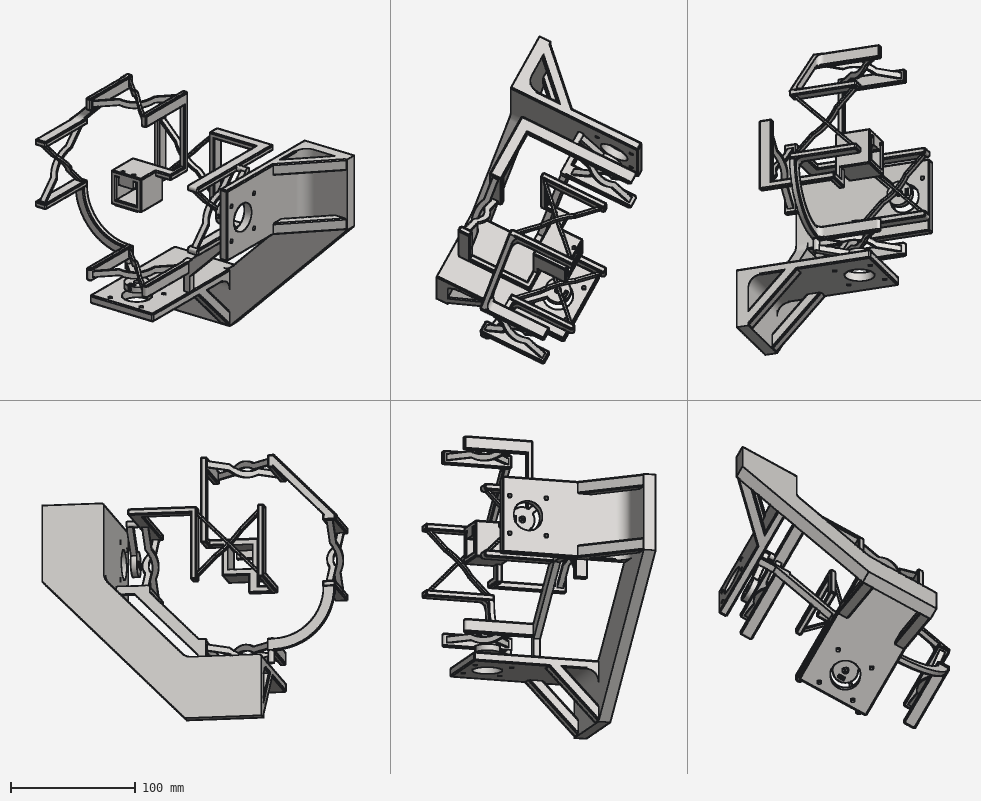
import cadquery as cq
import math


EDGE = 1.0
SPAN = 59.8
BAR = 5.0
ARM_DEPTH = 10.8
ARM_LENGTH = 58.0
GROUND_BAR = 5.5
NEAR_REACH = 75.0
FAR_REACH = 75.9
BACK_REACH = 70.0
JOINT_FILLET = 5.0
TIP_ROUND = 2.3

FLEX_WIDTH = 5.0
FLEX_THICK = 2.0
BUMP_HEIGHT = 4.0
BUMP_HALF_CHORD = 14.5
FLEX_OVERLAP = 2.3

CUBE = 30.0
WINDOW = 20.2
TONGUE_WIDTH = 14.2
TONGUE_HEIGHT = 6.2
TONGUE_DEPTH = 6.5
SMALL_HOLE = 3.0
CUBE_HOLE_SPACING = 10.5
CUBE_HOLE_INSET = 3.2
LEG_WIDTH = 10.0
LOWER_LEG_WIDTH = 8.3
LOWER_LEG_BAR = 5.7

BRACKET_WIDTH = 62.5
PLATE_TOP = -97.6
PLATE_THICK = 7.3
PLATE_FRONT = -21.5
WALL_BACK = 94.0
WALL_THICK = 10.0
BRACKET_BOTTOM = -147.8
RIB_WIDTH = 10.0
RIB_OUTER_SUM = -63.0
RIB_INNER_SUM = -50.2
BRACKET_FILLET = 10.0
MOTOR_HOLE_SPACING = 31.0
MOTOR_HOLE = 3.2
MOTOR_BORE = 24.3
BASE_FILLET = 10.0
BASE_CORNER = 30.3

STRUT_DEPTH = 5.5
STRUT_WIDTH = 6.5
STRUT_LOWER = 114.5

SLANT_UPPER = 110.0
SLANT_LOWER = 100.2
ARC_CENTRE_X = -29.8
ARC_CENTRE_Z = -30.5
ARC_OUTER = 49.3
ARC_INNER = 40.5

HUB_RADIUS = 10.3
HUB_SHAFT = 5.0
HUB_TOP = -85.5
NUT_WIDTH = 5.5
NUT_THICK = 2.5
NUT_OFFSET = 6.6

HALF = SPAN / 2
INNER = HALF - BAR
FRONT = -ARM_LENGTH / 2
REAR = ARM_LENGTH / 2
LINK_FRONT = REAR - BAR
BACK_FRONT = BACK_REACH - ARM_DEPTH / 2
BACK_REAR = BACK_REACH + ARM_DEPTH / 2


def block(xs, ys, zs, chamfer=0.0):
    """Box between two x, two y and two z positions, with its edges chamfered if asked."""
    size = [b - a for a, b in (xs, ys, zs)]
    box = cq.Workplane().box(*size, centered=False).translate((xs[0], ys[0], zs[0]))
    return box.edges().chamfer(chamfer) if chamfer else box


def prism_xz(points, ys):
    """Prism with an outline in x and z, between two y positions."""
    outline = cq.Workplane("XZ").polyline(points).close()
    return outline.extrude(-(ys[1] - ys[0])).translate((0, ys[0], 0))


def prism_yz(points, xs):
    """Prism with an outline in y and z, between two x positions."""
    outline = cq.Workplane("YZ").polyline(points).close()
    return outline.extrude(xs[1] - xs[0]).translate((xs[0], 0, 0))


def swap_sides(shape):
    """Mirror that takes top to left and bottom to right."""
    return shape.mirror((1, 0, 1))


def flexure(angle, side):
    """Flat strip along a diagonal of the XY plane, arching past its twin to one side."""
    end = (INNER + FLEX_OVERLAP) * math.sqrt(2)
    low = -FLEX_WIDTH / 2
    high = FLEX_WIDTH / 2
    strip = (
        cq.Workplane("XZ")
        .moveTo(-end, low)
        .lineTo(-BUMP_HALF_CHORD, low)
        .threePointArc((0, low + side * BUMP_HEIGHT), (BUMP_HALF_CHORD, low))
        .lineTo(end, low)
        .lineTo(end, high)
        .lineTo(BUMP_HALF_CHORD, high)
        .threePointArc((0, high + side * BUMP_HEIGHT), (-BUMP_HALF_CHORD, high))
        .lineTo(-end, high)
        .close()
        .extrude(FLEX_THICK / 2, both=True)
    )
    return strip.rotate((0, 0, 0), (0, 0, 1), angle)


def flexure_pair():
    """Two crossed strips between the arms of a pair, centred on the origin."""
    return flexure(45, -1).union(flexure(-45, 1))


def concave_fillet(radius, corner_x, corner_y, z_low, z_high):
    """Fillet along Z that fills a corner open toward -X and -Y."""
    square = block((corner_x - radius, corner_x), (corner_y - radius, corner_y), (z_low, z_high))
    cutter = (
        cq.Workplane("XY", origin=(corner_x - radius, corner_y - radius, z_low))
        .circle(radius)
        .extrude(z_high - z_low)
    )
    return square.cut(cutter)


def top_arms():
    """Top pair of arms and their crossed flexures."""
    zs = (NEAR_REACH - ARM_DEPTH / 2, NEAR_REACH + ARM_DEPTH / 2)
    left = block((-HALF, -INNER), (FRONT, REAR), zs, EDGE)
    right = block((INNER, HALF), (FRONT, REAR), zs, EDGE)
    return left.union(right).union(flexure_pair().translate((0, 0, NEAR_REACH)))


def round_tip_arm(xs, rear):
    """Arm of the bottom pair, rounded at its free end."""
    zs = (-FAR_REACH - ARM_DEPTH / 2, -FAR_REACH + ARM_DEPTH / 2)
    arm = block(xs, (FRONT, rear), zs)
    arm = arm.faces("<Y").edges("|Z").fillet(TIP_ROUND)
    return arm.faces("<Z or >Z").edges().chamfer(EDGE)


def bottom_arms():
    """Bottom pair of arms; the right-hand one is fixed to the ground strut."""
    left = round_tip_arm((-HALF, -INNER), REAR)
    right = round_tip_arm((INNER, INNER + GROUND_BAR), REAR + STRUT_DEPTH)
    return left.union(right).union(flexure_pair().translate((0, 0, -FAR_REACH)))


def rear_limb():
    """Rear arms and flexures, with the links to the stage and to the right-hand arms."""
    ys = (BACK_FRONT, BACK_REAR)
    left = block((-HALF, -INNER), ys, (-HALF, HALF), EDGE)
    right = block((INNER, HALF), ys, (-HALF, HALF), EDGE)
    strips = flexure_pair().rotate((0, 0, 0), (1, 0, 0), 90).translate((0, BACK_REACH, 0))
    right_x = (FAR_REACH - ARM_DEPTH / 2, FAR_REACH + ARM_DEPTH / 2)
    cross = block((INNER, right_x[1]), ys, (INNER, HALF), EDGE)
    forward = block(right_x, (LINK_FRONT, BACK_REAR), (INNER, HALF), EDGE)
    return left.union(right).union(strips).union(cross).union(forward)


def stage():
    """Hollow cube with a hanging tongue in its front window."""
    half = CUBE / 2
    opening = WINDOW / 2
    cube = block((-half, half), (-half, half), (-half, half))
    window = block((-opening, opening), (-half, half), (-opening, opening))
    cube = cube.cut(window)
    cube = cube.faces("<Y or <X or >X or <Z or >Z").edges().chamfer(EDGE)
    tongue = block(
        (-TONGUE_WIDTH / 2, TONGUE_WIDTH / 2),
        (-half, -half + TONGUE_DEPTH),
        (opening - TONGUE_HEIGHT, opening + EDGE),
    )
    holes = (
        cq.Workplane("XY", origin=(0, -half + CUBE_HOLE_INSET, half))
        .pushPoints([(-CUBE_HOLE_SPACING / 2, 0), (CUBE_HOLE_SPACING / 2, 0)])
        .circle(SMALL_HOLE / 2)
        .extrude(-CUBE)
    )
    holes = holes.intersect(block((-half, half), (-half, half), (0, half)))
    return cube.union(tongue).cut(holes)


def stage_legs():
    """Leg to the right-hand top arm and leg to the left-hand rear arm."""
    half = CUBE / 2
    leg_z = (half - BAR, half)
    side = block((half - BAR, HALF), (half - LEG_WIDTH, half), leg_z, EDGE)
    run = block((INNER, HALF), (half - LEG_WIDTH, REAR), leg_z, EDGE)
    post = block((INNER, HALF), (LINK_FRONT, REAR), (half - BAR, NEAR_REACH + ARM_DEPTH / 2), EDGE)
    leg_y = (half - BAR, half)
    right = -half + LOWER_LEG_WIDTH
    beam_z = (-HALF, -HALF + LOWER_LEG_BAR)
    drop = block((-half, right), leg_y, (-HALF, -half + BAR), EDGE)
    beam = block((-HALF, right), leg_y, beam_z, EDGE)
    back = block((-HALF, -INNER), (leg_y[0], BACK_REAR), beam_z, EDGE)
    return side.union(run).union(post).union(drop).union(beam).union(back)


def slanting_link():
    """Straight link from the left-hand top arm to the upper left arm."""
    far = NEAR_REACH + ARM_DEPTH / 2
    left = -2 * far
    outline = [
        (left, left + SLANT_LOWER),
        (0, SLANT_LOWER),
        (0, SLANT_UPPER),
        (left, left + SLANT_UPPER),
    ]
    band = prism_xz(outline, (LINK_FRONT, REAR))
    fillet = concave_fillet(JOINT_FILLET, -HALF, LINK_FRONT, 0, far)
    fillet = fillet.intersect(band.translate((0, -BAR, 0)))
    slope = cq.selectors.ParallelDirSelector(cq.Vector(1, 0, 1))
    inner_front = band.faces("<Y").edges(slope).edges("<Z")
    band = inner_front.chamfer(EDGE)
    outer_rear = band.faces(">Y").edges(slope).edges(">Z")
    band = outer_rear.chamfer(EDGE)
    trim = block((-far, -HALF + EDGE), (LINK_FRONT, REAR), (HALF - EDGE, far))
    return band.intersect(trim).union(fillet).union(swap_sides(fillet))


def curved_link():
    """Quarter ring from the lower left arm to the left-hand bottom arm."""
    ring = (
        cq.Workplane("XZ", origin=(ARC_CENTRE_X, LINK_FRONT, ARC_CENTRE_Z))
        .circle(ARC_OUTER)
        .circle(ARC_INNER)
        .extrude(-BAR)
    )
    ring = ring.faces("<Y").edges().chamfer(EDGE)
    reach = FAR_REACH + ARM_DEPTH
    quarter = block((-reach, ARC_CENTRE_X + EDGE), (0, reach), (-reach, ARC_CENTRE_Z + EDGE))
    ring = ring.intersect(quarter)
    bottom_fillet = concave_fillet(
        JOINT_FILLET, -HALF, LINK_FRONT, ARC_CENTRE_Z - ARC_OUTER, ARC_CENTRE_Z - ARC_INNER
    )
    left_fillet = concave_fillet(
        JOINT_FILLET, -HALF, LINK_FRONT, ARC_CENTRE_X - ARC_OUTER, ARC_CENTRE_X - ARC_INNER
    ).mirror((1, 0, -1))
    return ring.union(bottom_fillet).union(left_fillet)


def motor_arm():
    """Arm from the left-hand bottom arm to a clamping hub on the motor axis."""
    zs = (HUB_TOP - BAR, HUB_TOP)
    post = block((-HALF, -INNER), (LINK_FRONT, REAR), (zs[0], -FAR_REACH))
    post = post.edges("|Z").fillet(TIP_ROUND)
    middle = (LINK_FRONT + REAR) / 2
    length = middle * math.sqrt(2)
    strip = (
        block((-length, 0), (-BAR / 2, BAR / 2), zs)
        .rotate((0, 0, 0), (0, 0, 1), -45)
    )
    hub = cq.Workplane("XY", origin=(0, 0, zs[0])).circle(HUB_RADIUS).extrude(BAR)
    shaft = cq.Workplane("XY", origin=(0, 0, zs[0])).circle(HUB_SHAFT / 2).extrude(BAR)
    screw = (
        cq.Workplane("XZ", origin=(0, 0, HUB_TOP - BAR / 2))
        .circle(SMALL_HOLE / 2)
        .extrude(HUB_RADIUS)
    )
    nut = block(
        (-NUT_WIDTH / 2, NUT_WIDTH / 2),
        (-NUT_OFFSET - NUT_THICK / 2, -NUT_OFFSET + NUT_THICK / 2),
        zs,
    )
    return post.union(strip).union(hub).cut(shaft).cut(screw).cut(nut)


def motor_bracket():
    """Horizontal motor plate on a rear wall, braced by two sloping ribs."""
    side = BRACKET_WIDTH / 2
    xs = (-side, side)
    underside = PLATE_TOP - PLATE_THICK
    wall_front = WALL_BACK - WALL_THICK
    plate = block(xs, (PLATE_FRONT, WALL_BACK), (underside, PLATE_TOP))
    plate = plate.edges("|Y or <Y").chamfer(EDGE)
    wall = block(xs, (wall_front, WALL_BACK), (BRACKET_BOTTOM, underside + EDGE))
    fillet_centre = (wall_front - BRACKET_FILLET, underside - BRACKET_FILLET)
    fillet = block(xs, (fillet_centre[0], wall_front), (fillet_centre[1], underside)).cut(
        cq.Workplane("YZ", origin=(-side, 0, 0))
        .center(*fillet_centre)
        .circle(BRACKET_FILLET)
        .extrude(BRACKET_WIDTH)
    )
    bracket = plate.union(wall).union(fillet)
    corner = block(xs, (fillet_centre[0], WALL_BACK), (underside, PLATE_TOP - EDGE))
    bracket = bracket.union(corner)
    rib_top = underside + EDGE
    rib = [
        (RIB_OUTER_SUM - rib_top, rib_top),
        (RIB_INNER_SUM - rib_top, rib_top),
        (wall_front, RIB_INNER_SUM - wall_front),
        (wall_front, RIB_OUTER_SUM - wall_front),
    ]
    slope = cq.selectors.ParallelDirSelector(cq.Vector(0, 1, -1))
    for rib_x in ((-side, -side + RIB_WIDTH), (side - RIB_WIDTH, side)):
        slope_edges = prism_yz(rib, rib_x).edges(slope)
        bracket = bracket.union(slope_edges.chamfer(EDGE))
    top = cq.Workplane("XY", origin=(0, 0, PLATE_TOP))
    bore = top.circle(MOTOR_BORE / 2).extrude(-PLATE_THICK)
    screws = (
        top.rect(MOTOR_HOLE_SPACING, MOTOR_HOLE_SPACING, forConstruction=True)
        .vertices()
        .circle(MOTOR_HOLE / 2)
        .extrude(-PLATE_THICK)
    )
    return bracket.cut(bore).cut(screws)


def base_plate():
    """Slanting plate that joins the rear walls of the two brackets."""
    side = BRACKET_WIDTH / 2
    half_bend = math.pi / 8
    tangent = BASE_FILLET * math.tan(half_bend)
    slant = tangent / math.sqrt(2)
    bend = (BASE_CORNER - tangent, PLATE_TOP)
    leave = (BASE_CORNER + slant, PLATE_TOP + slant)
    middle = (
        bend[0] + BASE_FILLET * math.sin(half_bend),
        PLATE_TOP + BASE_FILLET * (1 - math.cos(half_bend)),
    )

    def swapped(point):
        return (-point[1], -point[0])

    foot = (side, BRACKET_BOTTOM)
    overlap = (bend[0], PLATE_TOP - EDGE)
    return (
        cq.Workplane("XZ", origin=(0, WALL_BACK, 0))
        .moveTo(*foot)
        .lineTo(*swapped(foot))
        .lineTo(*swapped((side - EDGE, BRACKET_BOTTOM)))
        .lineTo(*swapped((side - EDGE, PLATE_TOP - EDGE)))
        .lineTo(*swapped(overlap))
        .lineTo(*swapped(bend))
        .threePointArc(swapped(middle), swapped(leave))
        .lineTo(*leave)
        .threePointArc(middle, bend)
        .lineTo(*overlap)
        .lineTo(side - EDGE, PLATE_TOP - EDGE)
        .lineTo(side - EDGE, BRACKET_BOTTOM)
        .close()
        .extrude(WALL_THICK)
    )


def ground_strut():
    """Strut from both brackets to the fixed bottom and right arms."""
    outer = INNER + STRUT_WIDTH
    arm_top = -FAR_REACH + ARM_DEPTH / 2
    half_outline = [
        (INNER + GROUND_BAR, arm_top),
        (INNER, arm_top),
        (INNER, PLATE_TOP),
        (outer, PLATE_TOP),
        (outer, outer - STRUT_LOWER),
    ]
    other_half = [(-z, -x) for x, z in reversed(half_outline)]
    strut = prism_xz(half_outline + other_half, (REAR, REAR + STRUT_DEPTH))
    front_edges = strut.faces("<Y").edges("|X or |Z")
    feet_sides = front_edges.edges("<X").add(front_edges.edges(">Z"))
    return feet_sides.chamfer(EDGE)


lower_side = motor_bracket().union(bottom_arms()).union(motor_arm())
upper_side = top_arms()
result = (
    lower_side.union(swap_sides(lower_side))
    .union(upper_side)
    .union(swap_sides(upper_side))
    .union(rear_limb())
    .union(stage())
    .union(stage_legs())
    .union(slanting_link())
    .union(curved_link())
    .union(base_plate())
    .union(ground_strut())
)